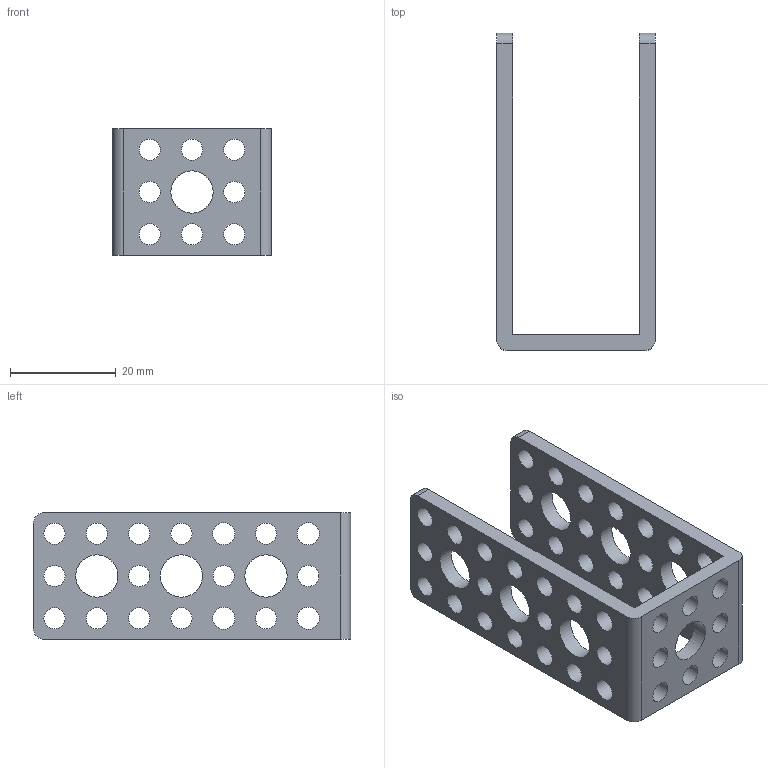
import cadquery as cq

width = 30.0
length = 60.0
height = 24.0
wall = 3.0
bend_radius = 2.0
tip_radius = 2.0

pitch = 8.0
arm_column_count = 7
row_heights = [-pitch, 0.0, pitch]
small_diameter = 4.0
clearance_diameter = 4.2
large_diameter = 8.0

front_y = -length / 2
arm_columns = [front_y + pitch * (i + 1) for i in range(arm_column_count)]
web_columns = [-pitch, 0.0, pitch]

clearance_points = [
    (y, z) for y in (arm_columns[0], arm_columns[2]) for z in (row_heights[0], row_heights[-1])
]


def make_channel():
    """Build the U-shaped body with rounded bends and rounded arm tips."""
    body = cq.Workplane("XY").box(width, length, height)
    body = body.edges("|Z and <Y").fillet(bend_radius)
    body = body.edges("|X and >Y").fillet(tip_radius)
    inner_space = cq.Workplane("XY").box(width - 2 * wall, length, height).translate((0, wall, 0))
    return body.cut(inner_space)


def split_grid(columns):
    """Return small and large hole centers; every second mid-row hole is large."""
    large = [(u, 0.0) for u in columns[1::2]]
    grid = [(u, z) for u in columns for z in row_heights]
    small = [point for point in grid if point not in large]
    return small, large


def arm_drills(points, diameter):
    """Cylinders along X that pass through both arms."""
    return cq.Workplane("YZ").pushPoints(points).circle(diameter / 2).extrude(width / 2, both=True)


def web_drills(points, diameter):
    """Cylinders along Y that pass through the web only."""
    plane = cq.Workplane("XZ", origin=(0, front_y, 0))
    return plane.pushPoints(points).circle(diameter / 2).extrude(-wall)


def drill_arms(body):
    """Drill the same hole pattern straight through both arms."""
    small, large = split_grid(arm_columns)
    plain_small = [point for point in small if point not in clearance_points]
    body = body.cut(arm_drills(plain_small, small_diameter))
    body = body.cut(arm_drills(clearance_points, clearance_diameter))
    return body.cut(arm_drills(large, large_diameter))


def drill_web(body):
    """Drill the ring of small holes and the large center hole in the web."""
    small, large = split_grid(web_columns)
    body = body.cut(web_drills(small, small_diameter))
    return body.cut(web_drills(large, large_diameter))


result = make_channel()
result = drill_arms(result)
result = drill_web(result)